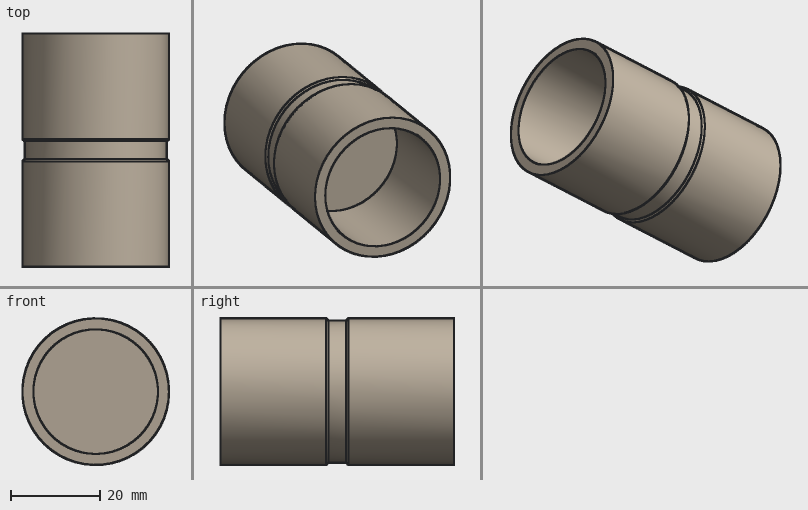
import cadquery as cq

outer_diameter = 33.0
bore_diameter = 28.0
groove_diameter = 32.0
length = 52.5
groove_floor_width = 4.0

outer_radius = outer_diameter / 2
groove_radius = groove_diameter / 2
groove_depth = outer_radius - groove_radius
half_length = length / 2
half_floor = groove_floor_width / 2
half_mouth = half_floor + groove_depth
web_thickness = (outer_diameter - bore_diameter) / 2
socket_depth = (length - web_thickness) / 2


def grooved_body():
    """Solid cylinder with a shallow groove around its middle."""
    profile = (
        cq.Workplane("XY")
        .moveTo(0, -half_length)
        .lineTo(outer_radius, -half_length)
        .lineTo(outer_radius, -half_mouth)
        .lineTo(groove_radius, -half_floor)
        .lineTo(groove_radius, half_floor)
        .lineTo(outer_radius, half_mouth)
        .lineTo(outer_radius, half_length)
        .lineTo(0, half_length)
        .close()
    )
    return profile.revolve(360, (0, 0, 0), (0, 1, 0))


def cut_socket(body, end_face):
    """Bore a blind socket into one end of the body."""
    end_plane = body.faces(end_face).workplane(centerOption="CenterOfBoundBox")
    return end_plane.hole(bore_diameter, socket_depth)


result = grooved_body()
for end_face in ("<Y", ">Y"):
    result = cut_socket(result, end_face)